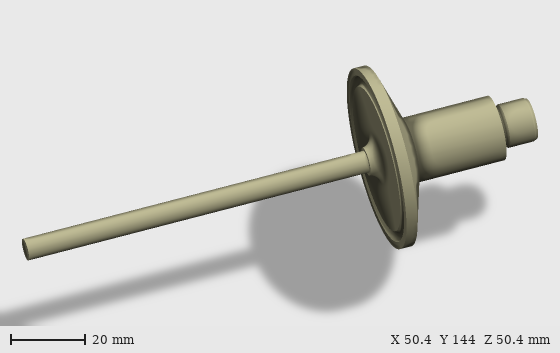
import cadquery as cq
import math

TOTAL_LENGTH = 144.0
PLUG_LENGTH = 10.1
HOUSING_LENGTH = 24.8
CONE_LENGTH = 6.0
RIM_THICKNESS = 3.2
BOSS_HEIGHT = 3.0

housing_end = TOTAL_LENGTH - PLUG_LENGTH
cone_end = housing_end - HOUSING_LENGTH
rim_back = cone_end - CONE_LENGTH
flange_face = rim_back - RIM_THICKNESS

FLANGE_RADIUS = 25.2
HOUSING_DIAMETER = 18.0
HOUSING_RADIUS = HOUSING_DIAMETER / 2
PROBE_RADIUS = 3.0

PLUG_RADIUS = 6.0
PLUG_TIP_CHAMFER_LENGTH = 1.0
PLUG_TIP_CHAMFER_DEPTH = 0.5
NECK_RADIUS = 5.3
NECK_LENGTH = 1.3
NECK_TAPER_LENGTH = 0.7

BOSS_BASE_RADIUS = 7.3
BOSS_TIP_RADIUS = 3.9
boss_top = flange_face - BOSS_HEIGHT

GROOVE_INNER_RADIUS = 20.2
GROOVE_OUTER_RADIUS = 23.2
GROOVE_WALL_WIDTH = 0.3
GROOVE_WALL_DEPTH = 0.6
GROOVE_DEPTH = 1.5


def revolve_profile(profile):
    """Turn a closed radius/axis outline into a solid around the Y axis."""
    return profile.close().revolve(360, (0, 0, 0), (0, 1, 0))


def make_plug():
    neck_end = housing_end + NECK_LENGTH
    profile = (
        cq.Workplane("XY")
        .moveTo(0, housing_end)
        .lineTo(NECK_RADIUS, housing_end)
        .lineTo(NECK_RADIUS, neck_end)
        .lineTo(PLUG_RADIUS, neck_end + NECK_TAPER_LENGTH)
        .lineTo(PLUG_RADIUS, TOTAL_LENGTH - PLUG_TIP_CHAMFER_LENGTH)
        .lineTo(PLUG_RADIUS - PLUG_TIP_CHAMFER_DEPTH, TOTAL_LENGTH)
        .lineTo(0, TOTAL_LENGTH)
    )
    return revolve_profile(profile)


def make_flanged_housing():
    profile = (
        cq.Workplane("XY")
        .moveTo(0, flange_face)
        .lineTo(FLANGE_RADIUS, flange_face)
        .lineTo(FLANGE_RADIUS, rim_back)
        .lineTo(HOUSING_RADIUS, cone_end)
        .lineTo(HOUSING_RADIUS, housing_end)
        .lineTo(0, housing_end)
    )
    return revolve_profile(profile)


def make_groove():
    wall_bottom = flange_face + GROOVE_WALL_DEPTH
    middle_radius = (GROOVE_INNER_RADIUS + GROOVE_OUTER_RADIUS) / 2
    profile = (
        cq.Workplane("XY")
        .moveTo(GROOVE_INNER_RADIUS, flange_face)
        .lineTo(GROOVE_INNER_RADIUS + GROOVE_WALL_WIDTH, wall_bottom)
        .threePointArc(
            (middle_radius, flange_face + GROOVE_DEPTH),
            (GROOVE_OUTER_RADIUS - GROOVE_WALL_WIDTH, wall_bottom),
        )
        .lineTo(GROOVE_OUTER_RADIUS, flange_face)
    )
    return revolve_profile(profile)


def make_boss():
    flare_width = BOSS_BASE_RADIUS - BOSS_TIP_RADIUS
    flare_radius = (flare_width**2 + BOSS_HEIGHT**2) / (2 * BOSS_HEIGHT)
    half_angle = math.atan2(BOSS_HEIGHT, flare_width)
    flare_middle = (
        BOSS_BASE_RADIUS - flare_radius * math.sin(half_angle),
        flange_face - flare_radius * (1 - math.cos(half_angle)),
    )
    profile = (
        cq.Workplane("XY")
        .moveTo(0, flange_face)
        .lineTo(BOSS_BASE_RADIUS, flange_face)
        .threePointArc(flare_middle, (BOSS_TIP_RADIUS, boss_top))
        .lineTo(0, boss_top)
    )
    return revolve_profile(profile)


def make_probe():
    return cq.Workplane("XZ").circle(PROBE_RADIUS).extrude(-flange_face)


result = make_flanged_housing().cut(make_groove()).union(make_plug()).union(make_boss()).union(make_probe())